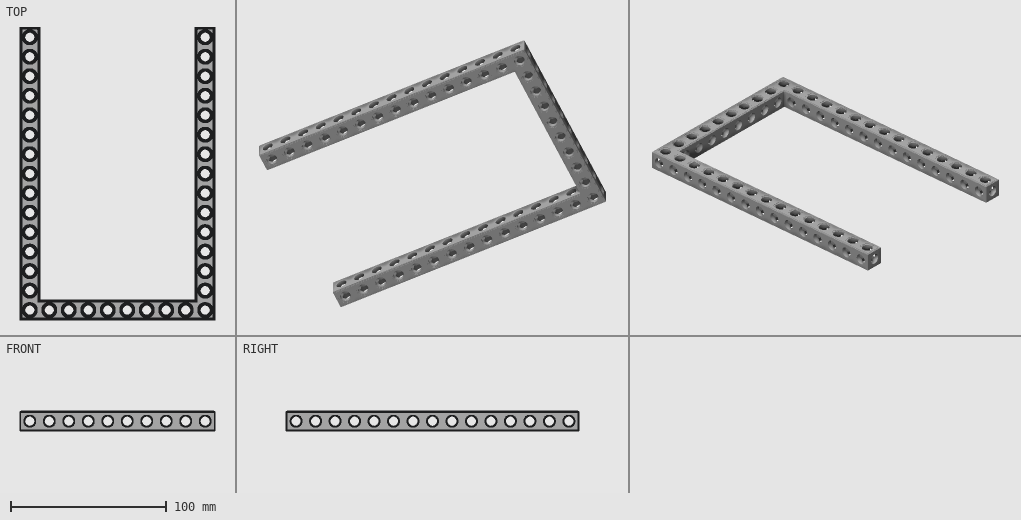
import cadquery as cq

length = 187.5
columns = 10
rows = 15
pitch = length / rows
width = columns * pitch

hole_diameter = 7.0

step_height = 0.2
rim_insets = [1.0, 0.4]
recess_diameters = [9.2, 7.9]

corner_chamfer = 0.28


def column_x(column):
    """X of a column centre, with the U centred on the origin."""
    return (column - (columns - 1) / 2) * pitch


def row_y(row):
    """Y of a row centre, with the U centred on the origin."""
    return (row - (rows - 1) / 2) * pitch


def u_slab(inset, height):
    """U open towards +Y, centred on Z = 0, with all its walls moved inward by the inset."""
    outer_width = width - 2 * inset
    outer_length = length - 2 * inset
    arm_width = pitch - 2 * inset
    slab = cq.Workplane("XY").box(outer_width, outer_length, height)
    opening = (
        cq.Workplane("XY")
        .box(outer_width - 2 * arm_width, outer_length - arm_width, height)
        .translate((0, arm_width / 2, 0))
    )
    return slab.cut(opening).edges("|Z").chamfer(corner_chamfer)


def make_frame():
    """Full-outline core with narrower slabs passing through it to form the stepped rims."""
    frame = u_slab(0, pitch - 2 * step_height * len(rim_insets))
    for step, inset in enumerate(rim_insets):
        frame = frame.union(u_slab(inset, pitch - 2 * step_height * step))
    return frame


def upright_cylinders(diameter, height):
    """One upright cylinder per grid cell of the U, starting from the lower face."""
    left_arm = [(column_x(0), row_y(row)) for row in range(rows)]
    right_arm = [(column_x(columns - 1), row_y(row)) for row in range(rows)]
    cross_bar = [(column_x(column), row_y(0)) for column in range(1, columns - 1)]
    return (
        cq.Workplane("XY", origin=(0, 0, -pitch / 2))
        .pushPoints(left_arm + right_arm + cross_bar)
        .circle(diameter / 2)
        .extrude(height)
    )


def drill_upright_holes(frame):
    """Through holes along Z, widened in steps at the upper and lower faces."""
    frame = frame.cut(upright_cylinders(hole_diameter, pitch))
    for step, diameter in enumerate(recess_diameters, start=1):
        lower_recesses = upright_cylinders(diameter, step * step_height)
        frame = frame.cut(lower_recesses).cut(lower_recesses.mirror("XY"))
    return frame


def drill_side_holes(frame):
    """Plain through holes along Y in each column and along X in each row."""
    along_y = (
        cq.Workplane("XZ")
        .pushPoints([(column_x(column), 0) for column in range(columns)])
        .circle(hole_diameter / 2)
        .extrude(length / 2, both=True)
    )
    along_x = (
        cq.Workplane("YZ")
        .pushPoints([(row_y(row), 0) for row in range(rows)])
        .circle(hole_diameter / 2)
        .extrude(width / 2, both=True)
    )
    return frame.cut(along_y).cut(along_x)


result = drill_side_holes(drill_upright_holes(make_frame()))